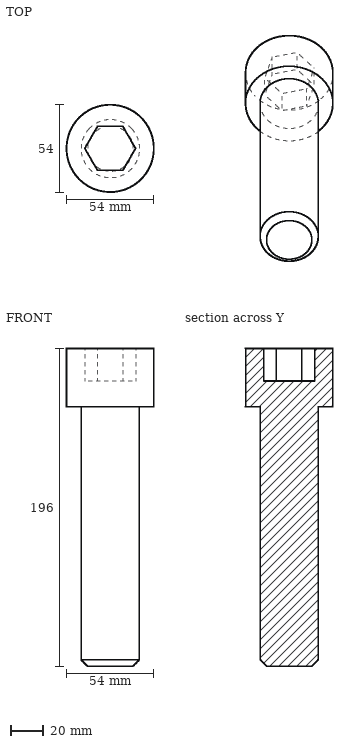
import cadquery as cq
import math

shank_diameter = 36.0
head_diameter = 54.0
head_height = shank_diameter
shank_length = 160.0
thread_length = 84.0

socket_across_flats = 27.1
socket_depth = 20.0

point_height = 4.0
point_diameter = 28.0


def make_head():
    return cq.Workplane("XY").circle(head_diameter / 2).extrude(head_height)


def make_plain_shank():
    """Unthreaded length directly below the head."""
    plain_length = shank_length - thread_length
    return cq.Workplane("XY").circle(shank_diameter / 2).extrude(-plain_length)


def make_threaded_shank():
    """Threaded length as a plain cylinder at major diameter, with a conical point."""
    point_inset = (shank_diameter - point_diameter) / 2
    return (
        cq.Workplane("XY", origin=(0, 0, -shank_length))
        .circle(shank_diameter / 2)
        .extrude(thread_length)
        .faces("<Z")
        .chamfer(point_height, point_inset)
    )


def make_socket():
    across_corners = socket_across_flats / math.cos(math.pi / 6)
    return (
        cq.Workplane("XY", origin=(0, 0, head_height))
        .polygon(6, across_corners)
        .extrude(-socket_depth)
    )


screw = make_head().union(make_plain_shank()).union(make_threaded_shank(), clean=False)
result = screw.cut(make_socket(), clean=False)